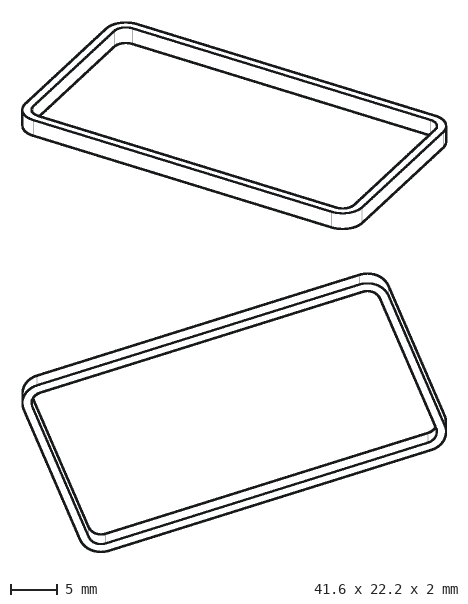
import cadquery as cq

length = 41.6
width = 22.2
height = 2.0

wall = 1.0
outer_radius = 2.4
inner_radius = outer_radius - wall


def rounded_block(size_x, size_y, corner_radius):
    """Block centred on the origin with rounded vertical edges."""
    return cq.Workplane("XY").box(size_x, size_y, height).edges("|Z").fillet(corner_radius)


outer_block = rounded_block(length, width, outer_radius)
opening = rounded_block(length - 2 * wall, width - 2 * wall, inner_radius)

result = outer_block.cut(opening)